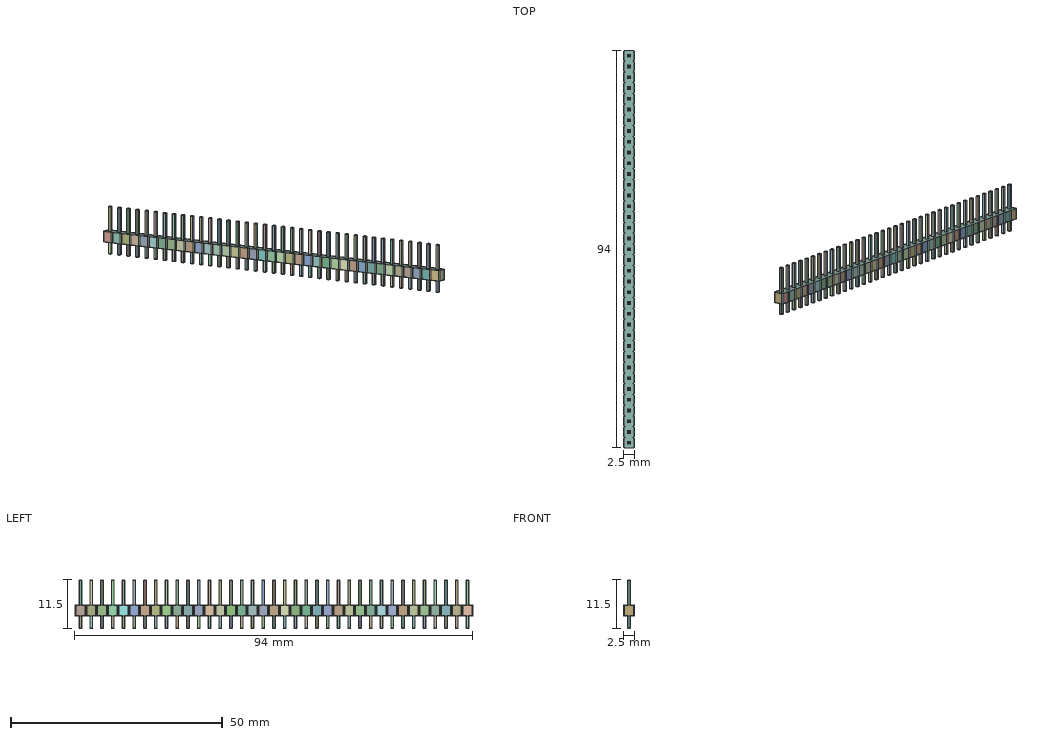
import cadquery as cq

row_length = 94.0
pin_count = 37
pitch = row_length / pin_count

body_width = 2.5
body_height = 2.5
corner_chamfer = 0.25

pin_size = 0.64
pin_above_body = 6.0
pin_below_body = 3.0
tip_chamfer = 0.15
pin_length = pin_below_body + body_height + pin_above_body

first_pin_y = (pitch - row_length) / 2


def make_block():
    """One pitch of the body, with its four upright corners chamfered."""
    block = cq.Workplane("XY").box(body_width, pitch, body_height, centered=(True, True, False))
    return block.edges("|Z").chamfer(corner_chamfer)


def make_pin():
    """One square pin with chamfered tips at both ends."""
    pin = cq.Workplane("XY").box(pin_size, pin_size, pin_length, centered=(True, True, False))
    pin = pin.faces("<Z or >Z").edges().chamfer(tip_chamfer)
    return pin.translate((0, 0, -pin_below_body))


segment = make_block().union(make_pin()).val()
segments = [
    segment.translate(cq.Vector(0, first_pin_y + index * pitch, 0))
    for index in range(pin_count)
]
row = segments[0].fuse(*segments[1:]).clean()
result = cq.Workplane("XY").newObject(row.Solids())